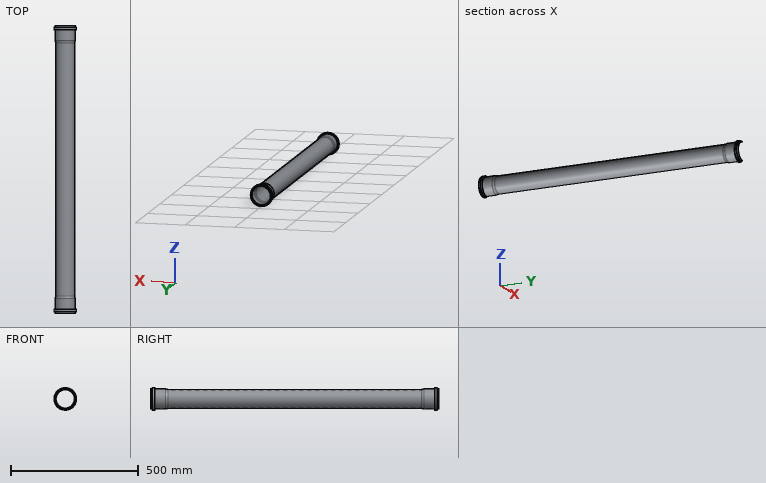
import cadquery as cq

length = 1130.0

wall = 2.0
pipe_diameter = 75.3
pipe_bore = 70.9
socket_bore = 76.3
socket_diameter = socket_bore + 2 * wall
lip_bore = 76.0
lip_diameter = lip_bore + 2 * wall

bead_diameter = 89.2
groove_diameter = bead_diameter - 2 * wall
shoulder_radius = 2.0

bead_start = 6.0
bead_end = 18.0
bead_middle = (bead_start + bead_end) / 2
taper_start = 59.0
taper_end = 69.0


def end_plane(distance):
    """Plane across the pipe, at a distance from the open end at Y = -length / 2."""
    return cq.Workplane("XZ", origin=(0, distance - length / 2, 0))


def ring(diameter, start, end):
    """A round disc between two distances from the open end."""
    return end_plane(start).circle(diameter / 2).extrude(start - end)


def taper(socket_size, pipe_size):
    """The cone that leads from the socket down to the pipe."""
    socket_circle = end_plane(taper_start).circle(socket_size / 2)
    pipe_circle = socket_circle.workplane(offset=taper_start - taper_end).circle(pipe_size / 2)
    return pipe_circle.loft(ruled=True)


def stepped_core(lip_size, socket_size, pipe_size):
    """Lip, socket and taper in a row, from the open end to the start of the pipe."""
    lip = ring(lip_size, 0, bead_middle)
    socket = ring(socket_size, bead_middle, taper_start)
    return lip.union(socket).union(taper(socket_size, pipe_size))


def socket_end():
    """The hollow socket whose open end is at Y = -length / 2."""
    bead = ring(bead_diameter, bead_start, bead_end).edges().fillet(shoulder_radius)
    groove = ring(groove_diameter, bead_start + wall, bead_end - wall)
    outside = stepped_core(lip_diameter, socket_diameter, pipe_diameter).union(bead)
    inside = stepped_core(lip_bore, socket_bore, pipe_bore).union(groove)
    return outside.cut(inside)


def pipe():
    """The plain pipe between the two tapers."""
    far_taper_end = length - taper_end
    outside = ring(pipe_diameter, taper_end, far_taper_end)
    return outside.cut(ring(pipe_bore, taper_end, far_taper_end))


front_socket = socket_end()
back_socket = front_socket.mirror("XZ")
result = pipe().union(front_socket).union(back_socket)